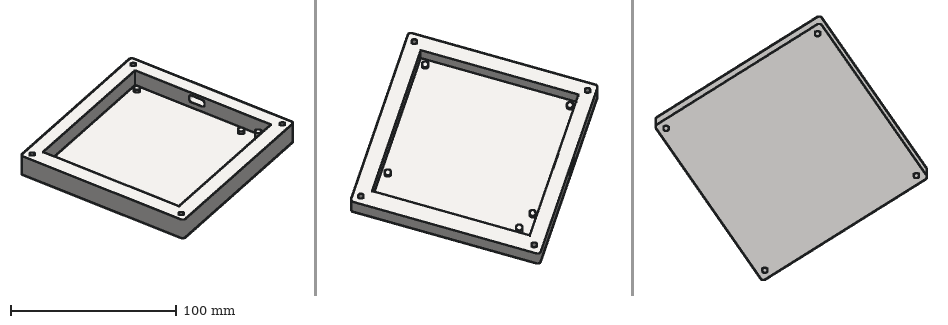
import cadquery as cq

length_x = 118.8
length_y = 120.2
height = 14.0
corner_radius = 2.0

pocket_left = -50.0
pocket_right = 49.0
pocket_front = -49.5
pocket_back = 50.5
floor_thickness = 3.0

hole_diameter = 3.4
hole_x = 54.3
hole_y = 54.9

post_diameter = 4.0
short_post_height = 2.0
tall_post_height = 9.3
short_post_columns = (-45.9, 30.0)
short_post_rows = (-45.4, 46.4)
tall_post_position = (45.0, 42.5)

opening_width = 11.0
opening_height = 5.0
opening_radius = 1.7
opening_x = -5.0
opening_above_floor = 4.0


def make_block():
    block = cq.Workplane("XY").box(length_x, length_y, height, centered=(True, True, False))
    return block.edges("|Z").fillet(corner_radius)


def make_pocket():
    return (
        cq.Workplane("XY", origin=(pocket_left, pocket_front, floor_thickness))
        .box(
            pocket_right - pocket_left,
            pocket_back - pocket_front,
            height - floor_thickness,
            centered=False,
        )
    )


def make_rim_holes():
    return (
        cq.Workplane("XY")
        .rect(2 * hole_x, 2 * hole_y, forConstruction=True)
        .vertices()
        .circle(hole_diameter / 2)
        .extrude(height)
    )


def make_posts(positions, post_height):
    return (
        cq.Workplane("XY")
        .pushPoints(positions)
        .circle(post_diameter / 2)
        .extrude(floor_thickness + post_height)
    )


def make_wall_opening():
    wall_thickness = length_y / 2 - pocket_back
    center_y = pocket_back + wall_thickness / 2
    center_z = floor_thickness + opening_above_floor + opening_height / 2
    return (
        cq.Workplane("XY", origin=(opening_x, center_y, center_z))
        .box(opening_width, wall_thickness, opening_height)
        .edges("|Y")
        .fillet(opening_radius)
    )


short_post_positions = [(x, y) for x in short_post_columns for y in short_post_rows]

result = (
    make_block()
    .cut(make_pocket())
    .cut(make_rim_holes())
    .cut(make_wall_opening())
    .union(make_posts(short_post_positions, short_post_height))
    .union(make_posts([tall_post_position], tall_post_height))
)